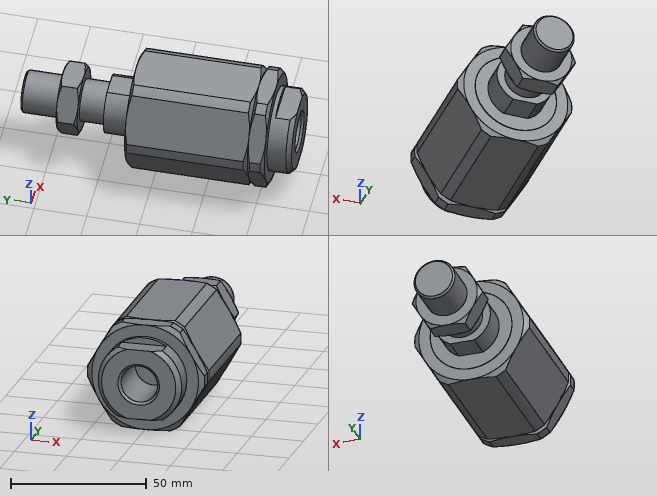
import cadquery as cq
import math


BOSS_LENGTH = 8.9
FLANGE_LENGTH = 6.5
BARREL_LENGTH = 46.5
END_STEP_LENGTH = 0.2
COLLAR_LENGTH = 9.9
ROD_LENGTH = 32.0

CASE_ACROSS_FLATS = 41.0
CASE_CORNER_DIAMETER = 45.0
HEX_CHAMFER_ANGLE = 30

BOSS_DIAMETER = 32.0
BOSS_CHAMFER = 1.8
BOSS_ACROSS_FLATS = 27.0
BOSS_FLAT_LENGTH = 7.3
SOCKET_MOUTH_DIAMETER = 15.9
SOCKET_BORE_DIAMETER = 14.0
SOCKET_DEPTH = 20.8

COLLAR_DIAMETER = 22.0
COLLAR_ACROSS_FLATS = 20.0
ROD_DIAMETER = 16.0
ROD_CHAMFER = 0.7

NUT_ACROSS_FLATS = 24.0
NUT_LENGTH = 8.0
NUT_TO_TIP = 14.4

flange_start = BOSS_LENGTH
barrel_start = flange_start + FLANGE_LENGTH
end_step_start = barrel_start + BARREL_LENGTH
case_end = end_step_start + END_STEP_LENGTH
collar_end = case_end + COLLAR_LENGTH
rod_end = collar_end + ROD_LENGTH
nut_start = rod_end - NUT_TO_TIP - NUT_LENGTH


def plane_at(y):
    """Plane across the joint axis at y, with its normal toward +Y and its local x along X."""
    return cq.Workplane(cq.Plane(origin=(0, y, 0), xDir=(1, 0, 0), normal=(0, 1, 0)))


def cylinder(y, diameter, length):
    """Round along the joint axis from y toward +Y."""
    return plane_at(y).circle(diameter / 2).extrude(length)


def turned_hexagon(y, length, across_flats, corner_diameter):
    """Hexagonal prism with corners on the X axis, turned to corner_diameter, both ends chamfered."""
    prism = plane_at(y).polygon(6, across_flats / math.cos(math.pi / 6)).extrude(length)
    corner_radius = corner_diameter / 2
    end_radius = across_flats / 2
    chamfer_length = (corner_radius - end_radius) * math.tan(math.radians(HEX_CHAMFER_ANGLE))
    envelope = (
        cq.Workplane("XY")
        .moveTo(0, y)
        .lineTo(end_radius, y)
        .lineTo(corner_radius, y + chamfer_length)
        .lineTo(corner_radius, y + length - chamfer_length)
        .lineTo(end_radius, y + length)
        .lineTo(0, y + length)
        .close()
        .revolve(360, (0, 0, 0), (0, 1, 0))
    )
    return prism.intersect(envelope)


def two_flats(y, length, diameter, across_flats):
    """Slab that leaves a round of the given diameter with flats facing +Z and -Z."""
    return plane_at(y).rect(diameter, across_flats).extrude(length)


def make_boss():
    """Round boss with a chamfered rim, its outer part cut to two wrench flats."""
    flat_part = cylinder(0, BOSS_DIAMETER, BOSS_FLAT_LENGTH).faces("<Y").chamfer(BOSS_CHAMFER)
    flat_part = flat_part.intersect(two_flats(0, BOSS_FLAT_LENGTH, BOSS_DIAMETER, BOSS_ACROSS_FLATS))
    round_part = cylinder(BOSS_FLAT_LENGTH, BOSS_DIAMETER, BOSS_LENGTH - BOSS_FLAT_LENGTH)
    return flat_part.union(round_part)


def make_socket_hole():
    """Blind bore from the socket face with a 45 degree countersunk mouth."""
    mouth_radius = SOCKET_MOUTH_DIAMETER / 2
    bore_radius = SOCKET_BORE_DIAMETER / 2
    countersink = cq.Solid.makeCone(
        mouth_radius, bore_radius, mouth_radius - bore_radius, cq.Vector(0, 0, 0), cq.Vector(0, 1, 0)
    )
    return cylinder(0, SOCKET_BORE_DIAMETER, SOCKET_DEPTH).union(cq.Workplane(countersink))


def make_case():
    """Socket boss, hexagonal flange, hexagonal barrel and the low round step facing the stud."""
    flange = turned_hexagon(flange_start, FLANGE_LENGTH, CASE_ACROSS_FLATS, CASE_CORNER_DIAMETER)
    barrel = turned_hexagon(barrel_start, BARREL_LENGTH, CASE_ACROSS_FLATS, CASE_CORNER_DIAMETER)
    end_step = cylinder(end_step_start, BOSS_DIAMETER, END_STEP_LENGTH)
    return barrel.union(flange).union(end_step).union(make_boss()).cut(make_socket_hole())


def make_stud():
    """Plain rod with a chamfered tip on a collar with two wrench flats, seated on the case."""
    collar = cylinder(case_end, COLLAR_DIAMETER, COLLAR_LENGTH)
    collar = collar.intersect(two_flats(case_end, COLLAR_LENGTH, COLLAR_DIAMETER, COLLAR_ACROSS_FLATS))
    rod = cylinder(collar_end, ROD_DIAMETER, ROD_LENGTH).faces(">Y").chamfer(ROD_CHAMFER)
    return collar.union(rod)


def make_nut():
    """Chamfered hexagonal nut bored to fit the rod."""
    sharp_corner_diameter = NUT_ACROSS_FLATS / math.cos(math.pi / 6)
    nut = turned_hexagon(nut_start, NUT_LENGTH, NUT_ACROSS_FLATS, sharp_corner_diameter)
    return nut.cut(cylinder(nut_start, ROD_DIAMETER, NUT_LENGTH))


case = make_case()
stud = make_stud()
nut = make_nut()

result = cq.Compound.makeCompound([case.val(), stud.val(), nut.val()])